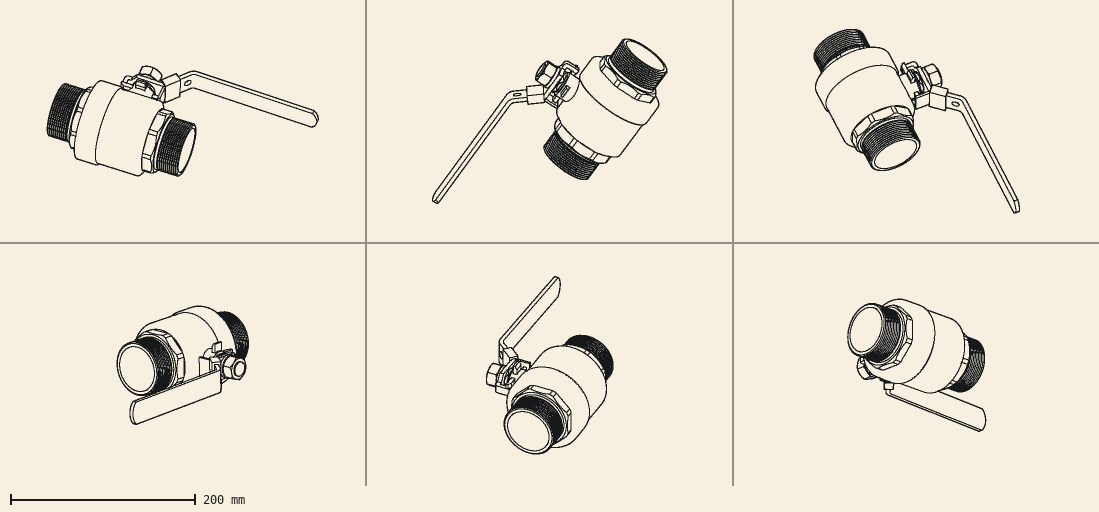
import cadquery as cq
import math


BORE_DIA = 50.0
THREAD_DIA = 59.5
THREAD_PITCH = 2.32
THREAD_DEPTH = 1.3
THREAD_TURNS = 10
THREAD_LENGTH = THREAD_PITCH * THREAD_TURNS
OVERALL_LENGTH = 266.7
LEFT_END = -78.0
RIGHT_END = 72.8

CAP_DIA = 89.0
CAP_LEFT = -40.8
CAP_RIGHT = -16.5
CAP_ROUND = 1.5
BODY_DIA = 84.8
BODY_RIGHT = 34.1
SHOULDER_LENGTH = 4.3
SHOULDER_DROP = 7.0
SHOULDER_ROUND = 2.7

WRENCH_FLATS = 67.2
WRENCH_CORNER_DIA = 71.0
WRENCH_END_DIA = 65.3
WRENCH_CHAMFER = 2.5
WRENCH_LEFT = -51.0
WRENCH_RIGHT = 46.5

NECK_DIA = 28.5
NECK_TOP = 55.5
GLAND_DIA = 22.0
GLAND_NUT_BASE = 57.5
GLAND_NUT_TOP = 61.3
GLAND_NUT_CORNERS = 28.5
GLAND_NUT_TOP_DIA = 24.0
STEM_DIA = 16.5
STEM_TIP_DIA = 16.0
STEM_TOP = 84.0
WASHER_DIA = 26.1
WASHER_HEIGHT = 3.5
NUT_HEIGHT = 12.0
NUT_CORNERS = 27.2
NUT_FACE_DIA = 23.5
NUT_CHAMFER = 1.3
NUT_TURN = 12

LUG_REACH = 23.2
LUG_TOP = 53.3
LUG_THICKNESS = 4.5
LUG_WIDTH = 10.7
LUG_TIP_DROP = 2.1
LUG_TIP_LENGTH = 4.0
LONG_TIP_LENGTH = 8.5
SIDE_LUG_WIDTH = 6.5
SIDE_LUG_OFFSET = 7.5

STRIP_THICKNESS = 4.5
STRIP_WIDTH = 25.3
PLATE_TOP = 67.0
BLADE_TOP = 95.0
HANDLE_LEFT = -23.7
TIP_ARC_DEPTH = 5.3
RISE_ANGLE = 49
RISE_START = 20.0
HOOK_END = 49.5
HOOK_WIDTH = 8.8
FLARE_START = -16.0
FLARE_END = -10.5
HOOK_ROUND = 4.0
HOOK_INNER_ROUND = 1.3
BLADE_BEND_ROUND = 10.7
BLADE_INNER_ROUND = BLADE_BEND_ROUND - STRIP_THICKNESS
HANDLE_TURN = 1.7
HANDLE_TIP = (OVERALL_LENGTH + LEFT_END) / math.cos(math.radians(HANDLE_TURN))
LOCK_HOLE_DIA = 8.0
LOCK_HOLE_HEIGHT = 87.0
SLEEVE_LENGTH = 18.1
SLEEVE_THICKNESS = 10.0
SLEEVE_WIDTH = 30.7
SLEEVE_HEIGHT = 72.0
TAB_LEFT = 20.8
TAB_THICKNESS = 2.7
TAB_END = 46.5
TAB_WIDTH = 24.0


def disc_x(diameter, x_start, x_end):
    """Cylinder along X."""
    return cq.Workplane("YZ", origin=(x_start, 0, 0)).circle(diameter / 2).extrude(x_end - x_start)


def disc_y(diameter, y_start, y_end):
    """Cylinder along Y."""
    return cq.Workplane("XZ", origin=(0, y_end, 0)).circle(diameter / 2).extrude(y_end - y_start)


def hexagon(corners, y_start, y_end, turn):
    """Hexagonal prism along Y with corners at +X and -X, then turned about Y."""
    prism = cq.Workplane("XZ", origin=(0, y_end, 0)).polygon(6, corners).extrude(y_end - y_start)
    return prism.rotate((0, 0, 0), (0, 1, 0), turn)


def threaded_end(outer_x, inward):
    """Ringed thread starting at outer_x and running in the direction inward (+1 or -1)."""
    crest = THREAD_DIA / 2
    points = [(outer_x, 0), (outer_x, crest - THREAD_DEPTH)]
    for turn in range(THREAD_TURNS):
        points.append((outer_x + inward * (turn + 0.5) * THREAD_PITCH, crest))
        points.append((outer_x + inward * (turn + 1) * THREAD_PITCH, crest - THREAD_DEPTH))
    points.append((outer_x + inward * THREAD_LENGTH, 0))
    return cq.Workplane("XY").polyline(points).close().revolve(360, (0, 0, 0), (1, 0, 0))


def wrench_collar(outer_x, inner_x):
    """Octagon with trimmed corners, chamfered at its outer end."""
    inward = math.copysign(1, inner_x - outer_x)
    octagon_corners = WRENCH_FLATS / math.cos(math.pi / 8)
    octagon = (
        cq.Workplane("YZ", origin=(outer_x, 0, 0))
        .transformed(rotate=(0, 0, 22.5))
        .polygon(8, octagon_corners)
        .extrude(inner_x - outer_x)
    )
    envelope = (
        cq.Workplane("XY")
        .moveTo(outer_x, 0)
        .lineTo(outer_x, WRENCH_END_DIA / 2)
        .lineTo(outer_x + inward * WRENCH_CHAMFER, WRENCH_CORNER_DIA / 2)
        .lineTo(inner_x, WRENCH_CORNER_DIA / 2)
        .lineTo(inner_x, 0)
        .close()
        .revolve(360, (0, 0, 0), (1, 0, 0))
    )
    return octagon.intersect(envelope)


def valve_shell():
    """Cap, barrel with sloped shoulder, wrench collars and threaded ends."""
    cap = disc_x(CAP_DIA, CAP_LEFT, CAP_RIGHT).edges().fillet(CAP_ROUND)
    barrel = (
        disc_x(BODY_DIA, CAP_LEFT + CAP_ROUND, BODY_RIGHT)
        .faces(">X")
        .chamfer(SHOULDER_LENGTH, SHOULDER_DROP)
    )
    barrel = barrel.edges(cq.selectors.RadiusNthSelector(-1)).edges(">X").fillet(SHOULDER_ROUND)
    shell = cap.union(barrel)
    shell = shell.union(disc_x(THREAD_DIA, LEFT_END + THREAD_LENGTH, RIGHT_END - THREAD_LENGTH))
    shell = shell.union(wrench_collar(WRENCH_LEFT, CAP_LEFT + CAP_ROUND))
    shell = shell.union(wrench_collar(WRENCH_RIGHT, BODY_RIGHT - SHOULDER_LENGTH))
    shell = shell.union(threaded_end(LEFT_END, 1))
    return shell.union(threaded_end(RIGHT_END, -1))


def lug(width, offset, tip_length, turn):
    """Stop lug reaching along +X, its underside sloped at the tip, then turned about the stem."""
    bottom = LUG_TOP - LUG_THICKNESS
    profile = [
        (0, LUG_TOP),
        (LUG_REACH, LUG_TOP),
        (LUG_REACH, bottom + LUG_TIP_DROP),
        (LUG_REACH - tip_length, bottom),
        (0, bottom),
    ]
    blade = cq.Workplane("XY", origin=(0, 0, offset - width / 2)).polyline(profile).close().extrude(width)
    return blade.rotate((0, 0, 0), (0, 1, 0), turn)


def nut():
    """Hexagon nut with both faces chamfered to a circle."""
    base = PLATE_TOP + WASHER_HEIGHT
    blank = hexagon(NUT_CORNERS, base, base + NUT_HEIGHT, NUT_TURN - 90)
    drop = (NUT_CORNERS - NUT_FACE_DIA) / 2
    envelope = disc_y(NUT_CORNERS, base, base + NUT_HEIGHT).edges().chamfer(NUT_CHAMFER, drop)
    return blank.intersect(envelope)


def gland_nut():
    """Thin hexagon whose corners are cut back to a smaller top circle."""
    height = GLAND_NUT_TOP - GLAND_NUT_BASE
    cone = (
        cq.Workplane("XZ", origin=(0, GLAND_NUT_BASE, 0))
        .circle(GLAND_NUT_CORNERS / 2)
        .workplane(offset=-height)
        .circle(GLAND_NUT_TOP_DIA / 2)
        .loft()
    )
    return hexagon(GLAND_NUT_CORNERS, GLAND_NUT_BASE, GLAND_NUT_TOP, 0).intersect(cone)


def stem_stack():
    """Neck with lugs, gland, stem, washer and nut."""
    stack = disc_y(NECK_DIA, 0, NECK_TOP)
    stack = stack.union(disc_y(GLAND_DIA, NECK_TOP, GLAND_NUT_BASE))
    stack = stack.union(gland_nut())
    stack = stack.union(disc_y(STEM_DIA, 0, PLATE_TOP))
    stack = stack.union(disc_y(STEM_TIP_DIA, PLATE_TOP, STEM_TOP))
    stack = stack.union(disc_y(WASHER_DIA, PLATE_TOP, PLATE_TOP + WASHER_HEIGHT))
    stack = stack.union(nut())
    stack = stack.union(lug(LUG_WIDTH, 0, LUG_TIP_LENGTH, 0))
    stack = stack.union(lug(LUG_WIDTH, 0, LUG_TIP_LENGTH, -90))
    stack = stack.union(lug(LUG_WIDTH, 0, LONG_TIP_LENGTH, 90))
    return stack.union(lug(SIDE_LUG_WIDTH, -SIDE_LUG_OFFSET, LUG_TIP_LENGTH, 180))


def rise_x(height):
    """X of the sloped handle section's mid-line at a given height."""
    plate_middle = PLATE_TOP - STRIP_THICKNESS / 2
    return RISE_START + (height - plate_middle) / math.tan(math.radians(RISE_ANGLE))


def handle_strip():
    """Bent flat strip: hook, plate, slope and blade."""
    plate_bottom = PLATE_TOP - STRIP_THICKNESS
    blade_bottom = BLADE_TOP - STRIP_THICKNESS
    hook_inside = HANDLE_LEFT + STRIP_THICKNESS
    blade_bend = rise_x((BLADE_TOP + blade_bottom) / 2)
    miter = STRIP_THICKNESS / 2 * math.tan(math.radians(RISE_ANGLE / 2))
    hook_corner = (HANDLE_LEFT, PLATE_TOP)
    hook_inner_corner = (hook_inside, plate_bottom)
    bend_outer = (blade_bend - miter, BLADE_TOP)
    bend_inner = (blade_bend + miter, blade_bottom)
    profile = [
        (HANDLE_LEFT, HOOK_END),
        hook_corner,
        (RISE_START - miter, PLATE_TOP),
        bend_outer,
        (HANDLE_TIP, BLADE_TOP),
        (HANDLE_TIP, blade_bottom),
        bend_inner,
        (RISE_START + miter, plate_bottom),
        hook_inner_corner,
        (hook_inside, HOOK_END),
    ]
    strip = cq.Workplane("XY").polyline(profile).close().extrude(STRIP_WIDTH / 2, both=True)
    rounds = [
        (hook_corner, HOOK_ROUND),
        (hook_inner_corner, HOOK_INNER_ROUND),
        (bend_outer, BLADE_BEND_ROUND),
        (bend_inner, BLADE_INNER_ROUND),
    ]
    for (x, y), radius in rounds:
        strip = strip.edges(cq.selectors.NearestToPointSelector((x, y, 0))).fillet(radius)
    return strip.intersect(handle_outline())


def handle_outline():
    """Width of the handle: narrow hook, flare to full width, rounded tip."""
    hook_half = HOOK_WIDTH / 2
    half = STRIP_WIDTH / 2
    tip_start = HANDLE_TIP - TIP_ARC_DEPTH
    return (
        cq.Workplane("XZ")
        .moveTo(HANDLE_LEFT, -hook_half)
        .lineTo(FLARE_START, -hook_half)
        .lineTo(FLARE_END, -half)
        .lineTo(tip_start, -half)
        .threePointArc((HANDLE_TIP, 0), (tip_start, half))
        .lineTo(FLARE_END, half)
        .lineTo(FLARE_START, hook_half)
        .lineTo(HANDLE_LEFT, hook_half)
        .close()
        .extrude(-BLADE_TOP)
    )


def on_rise(solid, height):
    """Tilt a solid centred at the origin to the slope and move it to the given height."""
    tilted = solid.rotate((0, 0, 0), (0, 0, 1), RISE_ANGLE)
    return tilted.translate((rise_x(height), height, 0))


def handle():
    """Strip with sleeve, lock hole and hanging stop tab."""
    hole = cq.Workplane("XZ").circle(LOCK_HOLE_DIA / 2).extrude(SLEEVE_THICKNESS / 2, both=True)
    sleeve = cq.Workplane("XY").box(SLEEVE_LENGTH, SLEEVE_THICKNESS, SLEEVE_WIDTH)
    tab_height = PLATE_TOP - TAB_END
    tab = cq.Workplane("XY").box(TAB_THICKNESS, tab_height, TAB_WIDTH)
    tab = tab.translate((TAB_LEFT + TAB_THICKNESS / 2, TAB_END + tab_height / 2, 0))
    lever = handle_strip().cut(on_rise(hole, LOCK_HOLE_HEIGHT))
    lever = lever.union(on_rise(sleeve, SLEEVE_HEIGHT)).union(tab)
    return lever.rotate((0, 0, 0), (0, 1, 0), HANDLE_TURN)


bore = disc_x(BORE_DIA, LEFT_END, RIGHT_END)
result = valve_shell().union(stem_stack()).cut(bore).union(handle())